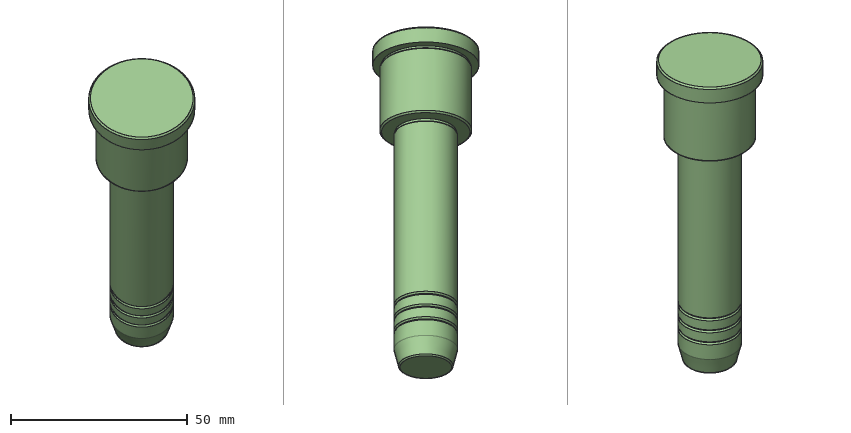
import cadquery as cq

total_length = 100.0
head_radius = 15.0
head_thickness = 5.0
head_chamfer = 0.5

collar_radius = 13.0
collar_bottom = 74.0
collar_chamfer = 0.5
collar_relief_depth = 0.4
collar_relief_width = 1.0

shaft_radius = 9.0
shaft_relief_depth = 0.3
shaft_relief_width = 1.0

tip_length = 5.6
tip_radius = 7.7
tip_edge_height = 0.4
tip_edge_inset = 0.4

groove_count = 3
lowest_groove_height = 11.0
groove_pitch = 4.0
groove_width = 1.0
groove_depth = 0.4

head_bottom = total_length - head_thickness
collar_top = head_bottom - collar_relief_width
shaft_top = collar_bottom - shaft_relief_width


def pin_profile():
    """Half section of the pin, drawn upwards from the tip."""
    profile = (
        cq.Workplane("XZ")
        .lineTo(tip_radius - tip_edge_inset, 0)
        .lineTo(tip_radius, tip_edge_height)
        .lineTo(shaft_radius, tip_length)
    )
    for index in range(groove_count):
        middle = lowest_groove_height + index * groove_pitch
        profile = (
            profile.lineTo(shaft_radius, middle - groove_width / 2)
            .lineTo(shaft_radius - groove_depth, middle)
            .lineTo(shaft_radius, middle + groove_width / 2)
        )
    return (
        profile.lineTo(shaft_radius, shaft_top)
        .lineTo(shaft_radius - shaft_relief_depth, shaft_top + shaft_relief_depth)
        .lineTo(shaft_radius - shaft_relief_depth, collar_bottom)
        .lineTo(collar_radius - collar_chamfer, collar_bottom)
        .lineTo(collar_radius, collar_bottom + collar_chamfer)
        .lineTo(collar_radius, collar_top)
        .lineTo(collar_radius - collar_relief_depth, collar_top + collar_relief_depth)
        .lineTo(collar_radius - collar_relief_depth, head_bottom)
        .lineTo(head_radius, head_bottom)
        .lineTo(head_radius, total_length - head_chamfer)
        .lineTo(head_radius - head_chamfer, total_length)
        .lineTo(0, total_length)
        .close()
    )


result = pin_profile().revolve(360, (0, 0, 0), (0, 1, 0))